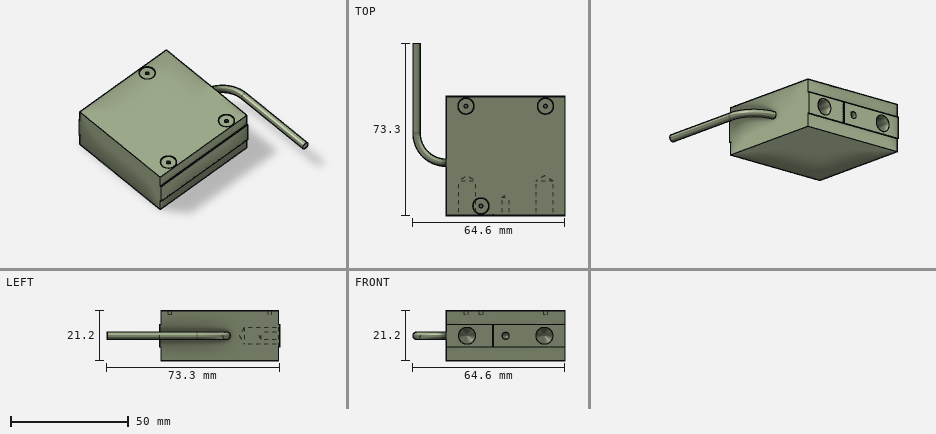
import cadquery as cq
import math

BLOCK_WIDTH = 50.4
CORE_DEPTH = 51.0
CORE_OVERHANG = 0.55
PLATE_DEPTH = CORE_DEPTH - 2 * CORE_OVERHANG
TOTAL_HEIGHT = 21.21
CORE_HEIGHT = 9.6
CORE_FRONT = -CORE_DEPTH / 2
PLATE_TOP = TOTAL_HEIGHT / 2

DRILL_POINT_ANGLE = 118.0
MAIN_BORE_DIAMETER = 7.2
MAIN_BORE_DEPTH = 15.0
MAIN_BORE_SPACING = 32.8
PILOT_DIAMETER = 3.0
PILOT_DEPTH = 8.0

GROOVE_WIDTH = 0.4
GROOVE_DEPTH = CORE_OVERHANG
GROOVE_X = -5.35

SCREW_RIM_DIAMETER = 6.95
SCREW_FACE_DIAMETER = 6.55
SCREW_RECESS_DEPTH = 0.2
SCREW_SOCKET_DIAMETER = 1.6
SCREW_SOCKET_DEPTH = 1.5
SCREW_Y = 21.15
REAR_SCREW_X = 16.85
FRONT_SCREW_X = -10.5
SCREW_POSITIONS = [
    (-REAR_SCREW_X, SCREW_Y),
    (REAR_SCREW_X, SCREW_Y),
    (FRONT_SCREW_X, -SCREW_Y),
]

CABLE_DIAMETER = 3.2
CABLE_EXIT_Y = -2.85
CABLE_REACH = 14.18
CABLE_END_Y = 47.78
CABLE_BEND_RADIUS = CABLE_REACH - CABLE_DIAMETER / 2
CABLE_EMBED = 1.0


def make_block():
    plates = cq.Workplane("XY").box(BLOCK_WIDTH, PLATE_DEPTH, TOTAL_HEIGHT)
    core = cq.Workplane("XY").box(BLOCK_WIDTH, CORE_DEPTH, CORE_HEIGHT)
    return plates.union(core, clean=False)


def make_drilled_hole(x, diameter, depth):
    """Hole along +Y from the core front, ending in a conical drill point."""
    radius = diameter / 2
    point_length = radius / math.tan(math.radians(DRILL_POINT_ANGLE / 2))
    profile = [(0, 0), (radius, 0), (radius, depth), (0, depth + point_length)]
    return (
        cq.Workplane("XY")
        .polyline(profile)
        .close()
        .revolve(360, (0, 0, 0), (0, 1, 0))
        .translate((x, CORE_FRONT, 0))
    )


def make_groove():
    return (
        cq.Workplane("XY")
        .box(GROOVE_WIDTH, GROOVE_DEPTH, CORE_HEIGHT)
        .translate((GROOVE_X, CORE_FRONT + GROOVE_DEPTH / 2, 0))
    )


def make_screw_recess(x, y):
    """Sloped rim down to the screw face, with a round socket in its middle."""
    rim_radius = SCREW_RIM_DIAMETER / 2
    face_radius = SCREW_FACE_DIAMETER / 2
    socket_radius = SCREW_SOCKET_DIAMETER / 2
    face_z = -SCREW_RECESS_DEPTH
    socket_z = face_z - SCREW_SOCKET_DEPTH
    profile = [
        (0, 0),
        (rim_radius, 0),
        (face_radius, face_z),
        (socket_radius, face_z),
        (socket_radius, socket_z),
        (0, socket_z),
    ]
    return (
        cq.Workplane("XZ")
        .polyline(profile)
        .close()
        .revolve(360, (0, 0, 0), (0, 1, 0))
        .translate((x, y, PLATE_TOP))
    )


def make_cable():
    exit_x = -BLOCK_WIDTH / 2
    far_x = exit_x - CABLE_BEND_RADIUS
    bend_end_y = CABLE_EXIT_Y + CABLE_BEND_RADIUS
    path = (
        cq.Workplane("XY")
        .moveTo(exit_x + CABLE_EMBED, CABLE_EXIT_Y)
        .lineTo(exit_x, CABLE_EXIT_Y)
        .tangentArcPoint((far_x, bend_end_y), relative=False)
        .lineTo(far_x, CABLE_END_Y)
    )
    return (
        cq.Workplane("YZ", origin=(exit_x + CABLE_EMBED, CABLE_EXIT_Y, 0))
        .circle(CABLE_DIAMETER / 2)
        .sweep(path)
    )


result = make_block()
for bore_x in (-MAIN_BORE_SPACING / 2, MAIN_BORE_SPACING / 2):
    result = result.cut(make_drilled_hole(bore_x, MAIN_BORE_DIAMETER, MAIN_BORE_DEPTH))
result = result.cut(make_drilled_hole(0, PILOT_DIAMETER, PILOT_DEPTH))
result = result.cut(make_groove())
for screw_x, screw_y in SCREW_POSITIONS:
    result = result.cut(make_screw_recess(screw_x, screw_y))
result = result.union(make_cable(), clean=False)